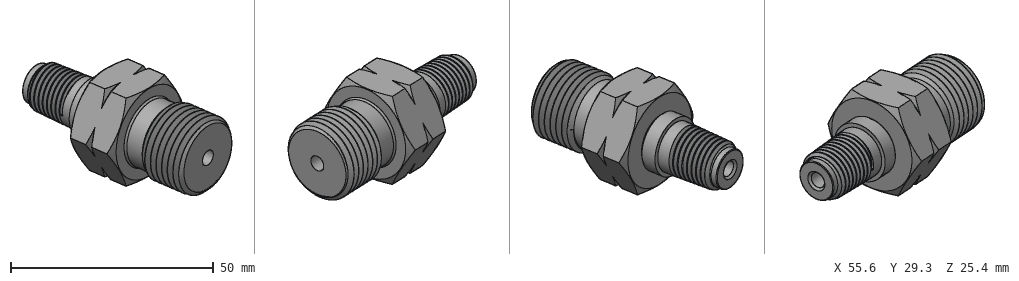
import cadquery as cq
import math


total_length = 55.6
bore_radius = 2.05
thread_half_angle = 30.0
no_taper = 360.0
groove_clearance = 0.1

tip_radius = 5.35
tip_length = 1.8
tip_chamfer = 0.2
bore_mouth_radius = 2.65
nipple_thread_pitch = 1.41
nipple_thread_depth = 0.95
nipple_thread_first_x = 0.65
nipple_thread_turns = 9.52
nipple_thread_end_x = 14.3
taper_slope = 1 / 32
taper_end_x = 15.3
nipple_radius = 6.85
collar_start_x = 17.45
collar_radius = 7.95
collar_chamfer = 0.7

nut_start_x = 22.3
hex_length = 14.25
hex_across_flats = 25.4
hex_face_radius = 12.55
corner_chamfer_angle = 30.0
hex_groove_radius = 12.95
neck_radius = 9.2
neck_flare_length = 0.6
neck_flare_height = 0.36
nut_thread_start_x = 42.1
nut_thread_radius = 10.48
nut_thread_pitch = 1.815
nut_thread_depth = 1.45
nut_thread_first_x = 42.25
nut_thread_turns = 7.75

hex_end_x = nut_start_x + hex_length
hex_middle_x = nut_start_x + hex_length / 2
hex_corner_radius = hex_across_flats / 2 / math.cos(math.radians(30))
nut_thread_rise = nut_thread_radius - neck_radius


def turned(profile):
    """Solid of revolution about X from (x, radius) points."""
    return cq.Workplane("XY").polyline(profile).close().revolve(360, (0, 0, 0), (1, 0, 0))


def thread_groove(first_x, crest_radius, depth, pitch, turns, zone, taper=no_taper, left_hand=False):
    """Helical V cutter that starts on the +Y side and is kept inside the cylinder zone.

    crest_radius is the radius of the thread crest at first_x; zone is (start x, end x, radius).
    """
    root_radius = crest_radius - depth
    outer_radius = crest_radius + groove_clearance
    half_width = (outer_radius - root_radius) * math.tan(math.radians(thread_half_angle))
    helix = cq.Wire.makeHelix(
        pitch,
        pitch * turns,
        root_radius,
        angle=taper,
        lefthand=left_hand,
    )
    path = helix.moved(cq.Plane.named("YZ", origin=(first_x, 0, 0)).location)
    profile = cq.Workplane("XY").polyline([
        (first_x - half_width, outer_radius),
        (first_x, root_radius),
        (first_x + half_width, outer_radius),
    ]).close()
    zone_start, zone_end, zone_radius = zone
    thread_zone = (
        cq.Workplane("YZ", origin=(zone_start, 0, 0))
        .circle(zone_radius)
        .extrude(zone_end - zone_start)
    )
    return profile.sweep(path, isFrenet=True).intersect(thread_zone)


def taper_radius(x):
    """Crest radius of the tapered nipple thread at x."""
    return nipple_radius - (taper_end_x - x) * taper_slope


def make_nipple():
    """Tapered-thread nipple with a collar that seats on the nut face."""
    cone_rise = (taper_radius(tip_length) - tip_radius) / (1 - taper_slope)
    cone_end_x = tip_length + cone_rise
    body = turned([
        (0, 0),
        (0, tip_radius - tip_chamfer),
        (tip_chamfer, tip_radius),
        (tip_length, tip_radius),
        (cone_end_x, taper_radius(cone_end_x)),
        (taper_end_x, nipple_radius),
        (collar_start_x, nipple_radius),
        (collar_start_x, collar_radius),
        (nut_start_x - collar_chamfer, collar_radius),
        (nut_start_x, collar_radius - collar_chamfer),
        (nut_start_x, 0),
    ])

    groove = thread_groove(
        nipple_thread_first_x,
        taper_radius(nipple_thread_first_x),
        nipple_thread_depth,
        nipple_thread_pitch,
        nipple_thread_turns,
        zone=(0, nipple_thread_end_x, collar_radius),
        taper=math.degrees(math.atan(taper_slope)),
    )
    bore = cq.Workplane("YZ").circle(bore_radius).extrude(nut_start_x)
    bore_mouth = turned([
        (0, 0),
        (0, bore_mouth_radius),
        (bore_mouth_radius, 0),
    ])
    return body.cut(groove).cut(bore).cut(bore_mouth)


def make_hex():
    """Hexagon with chamfered corners and a V groove across the corners at mid-length."""
    prism = (
        cq.Workplane("YZ", origin=(nut_start_x, 0, 0))
        .polygon(6, 2 * hex_corner_radius)
        .extrude(hex_length)
    )
    slope = math.tan(math.radians(corner_chamfer_angle))
    chamfer_length = (hex_corner_radius - hex_face_radius) * slope
    groove_half_width = (hex_corner_radius - hex_groove_radius) * slope
    envelope = turned([
        (nut_start_x, 0),
        (nut_start_x, hex_face_radius),
        (nut_start_x + chamfer_length, hex_corner_radius),
        (hex_middle_x - groove_half_width, hex_corner_radius),
        (hex_middle_x, hex_groove_radius),
        (hex_middle_x + groove_half_width, hex_corner_radius),
        (hex_end_x - chamfer_length, hex_corner_radius),
        (hex_end_x, hex_face_radius),
        (hex_end_x, 0),
    ])
    return prism.intersect(envelope)


def make_nut():
    """Hexagon nut with a neck and a left-hand external thread."""
    spigot = turned([
        (hex_end_x, 0),
        (hex_end_x, neck_radius + neck_flare_height),
        (hex_end_x + neck_flare_length, neck_radius),
        (nut_thread_start_x, neck_radius),
        (nut_thread_start_x + nut_thread_rise, nut_thread_radius),
        (total_length - nut_thread_rise, nut_thread_radius),
        (total_length, neck_radius),
        (total_length, 0),
    ])
    groove = thread_groove(
        nut_thread_first_x,
        nut_thread_radius,
        nut_thread_depth,
        nut_thread_pitch,
        nut_thread_turns,
        zone=(nut_thread_start_x, total_length, nut_thread_radius),
        left_hand=True,
    )
    bore = cq.Workplane("YZ").circle(bore_radius).extrude(total_length)
    return make_hex().union(spigot.cut(groove)).cut(bore)


nipple = make_nipple()
nut = make_nut()

result = cq.Compound.makeCompound([nipple.val(), nut.val()])